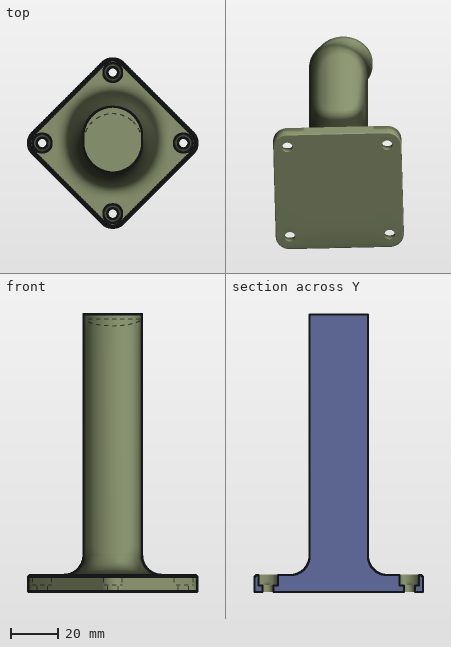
import cadquery as cq

total_height = 118.0

plate_thickness = 7.3
hole_reach = 30.0
corner_radius = 6.0
top_chamfer = 1.0
bottom_chamfer = 0.4
plate_side = hole_reach * 2 ** 0.5 + 2 * corner_radius

hole_diameter = 4.5
counterbore_diameter = 8.0
counterbore_depth = 4.4

post_radius = 12.5
root_fillet = 8.0

lip_overhang = 3.0
lip_thickness = 2.0


def make_plate():
    plate = (
        cq.Workplane("XY")
        .rect(plate_side, plate_side)
        .extrude(plate_thickness)
        .edges("|Z")
        .fillet(corner_radius)
    )
    plate = plate.faces(">Z").edges().chamfer(top_chamfer)
    plate = plate.faces("<Z").edges().chamfer(bottom_chamfer)
    return plate.rotate((0, 0, 0), (0, 0, 1), 45)


def make_post():
    """Revolved post whose root flares onto the plate in a concave arc."""
    flare_radius = post_radius + root_fillet
    flare_top = plate_thickness + root_fillet
    arc_offset = root_fillet * (1 - 0.5 ** 0.5)
    profile = (
        cq.Workplane("XZ")
        .moveTo(0, bottom_chamfer)
        .lineTo(flare_radius, bottom_chamfer)
        .lineTo(flare_radius, plate_thickness)
        .threePointArc(
            (post_radius + arc_offset, plate_thickness + arc_offset),
            (post_radius, flare_top),
        )
        .lineTo(post_radius, total_height)
        .lineTo(0, total_height)
        .close()
    )
    return profile.revolve(360, (0, 0, 0), (0, 1, 0))


def make_lip():
    """Post section stretched towards +Y, carried by a 45 degree cone."""
    lip_bottom = total_height - lip_thickness
    stretch = (
        cq.Workplane("XY", origin=(0, lip_overhang / 2, lip_bottom))
        .slot2D(2 * post_radius + lip_overhang, 2 * post_radius, 90)
        .extrude(lip_thickness)
    )
    cone = cq.Workplane(
        cq.Solid.makeCone(
            post_radius - lip_overhang,
            post_radius,
            lip_overhang,
            pnt=cq.Vector(0, lip_overhang, lip_bottom - lip_overhang),
        )
    )
    return stretch.union(cone)


def cut_screw_holes(body):
    return (
        body.copyWorkplane(cq.Workplane("XY", origin=(0, 0, plate_thickness)))
        .polarArray(hole_reach, 0, 360, 4)
        .cboreHole(hole_diameter, counterbore_diameter, counterbore_depth, plate_thickness)
    )


result = cut_screw_holes(make_plate().union(make_post()).union(make_lip()))